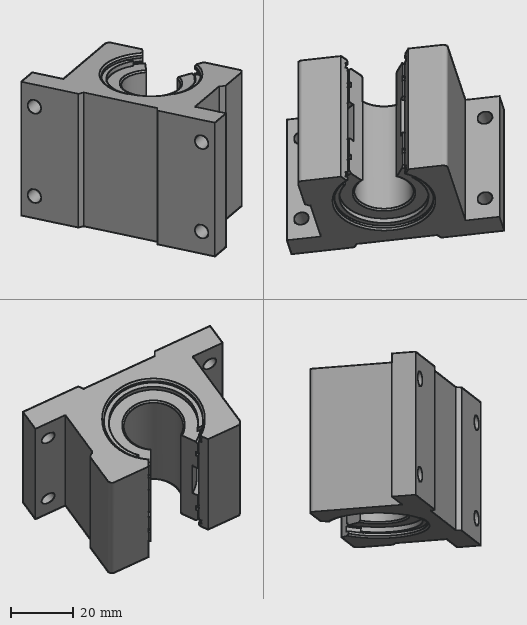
import cadquery as cq
import math


BASE_WIDTH = 69.85
BLOCK_LENGTH = 47.65
BLOCK_HEIGHT = 39.7
AXIS_HEIGHT = 23.75
FLANGE_THICKNESS = 8.0
BODY_HALF_WIDTH = 23.75
CORNER_RADIUS = 1.6

PAD_PROJECTION = 1.7
PAD_HEIGHT = 12.9
PAD_SLOPE_HEIGHT = 1.4

RELIEF_DEPTH = 1.7
RELIEF_WIDTH_INNER = 26.5
RELIEF_WIDTH_OUTER = 28.5

MOUNT_HOLE_DIAMETER = 4.8
MOUNT_SPACING_X = 60.3
MOUNT_SPACING_Z = 31.8

MOUTH_LEAN = math.radians(30)
HOUSING_MOUTH_HALF_WIDTH = 1.9
BEARING_MOUTH_HALF_WIDTH = 1.05
MOUTH_OVERRUN = 0.7

SEAT_RADIUS = 16.0
SEAT_CHAMFER = 0.6
GROOVE_RADIUS = 17.0
GROOVE_INSET = 1.5
RING_THICKNESS = 1.7
RING_INNER_RADIUS = 14.4
RING_END_Y = 9.3
BEARING_BORE_RADIUS = 9.6
BEARING_BORE_CHAMFER = 0.55
BEARING_RIM_CHAMFER = 0.8
BEARING_GROOVE_INSET = 5.6
BEARING_GROOVE_WIDTH = 1.6
BEARING_GROOVE_DEPTH = 0.8
BEARING_WAIST_LENGTH = 14.25
BEARING_WAIST_DEPTH = 2.0

BASE_Y = -AXIS_HEIGHT
TOP_Y = BLOCK_HEIGHT - AXIS_HEIGHT
FLANGE_Y = BASE_Y + FLANGE_THICKNESS
HALF_LENGTH = BLOCK_LENGTH / 2
GROOVE_OUTER_Z = HALF_LENGTH - GROOVE_INSET
BEARING_HALF_LENGTH = GROOVE_OUTER_Z - RING_THICKNESS


def cylinder(radius, half_length):
    """Cylinder along the bore axis, centred on the origin."""
    return cq.Workplane("XY").circle(radius).extrude(half_length, both=True)


def mouth_wedge(half_width_at_axis):
    """Cutter that opens a round shape towards +Y."""
    flare = math.tan(MOUTH_LEAN)
    end_y = TOP_Y + MOUTH_OVERRUN
    end_half_width = half_width_at_axis + end_y * flare
    return (
        cq.Workplane("XY")
        .polyline(
            [
                (-half_width_at_axis, 0),
                (half_width_at_axis, 0),
                (end_half_width, end_y),
                (-end_half_width, end_y),
            ]
        )
        .close()
        .extrude(HALF_LENGTH, both=True)
    )


def block_blank():
    """Flanged block with a side pad on +X and a shallow relief along its mounting face."""
    pad_x = BODY_HALF_WIDTH + PAD_PROJECTION
    pad_y = TOP_Y - PAD_HEIGHT
    outline = [
        (-BASE_WIDTH / 2, BASE_Y),
        (-RELIEF_WIDTH_OUTER / 2, BASE_Y),
        (-RELIEF_WIDTH_INNER / 2, BASE_Y + RELIEF_DEPTH),
        (RELIEF_WIDTH_INNER / 2, BASE_Y + RELIEF_DEPTH),
        (RELIEF_WIDTH_OUTER / 2, BASE_Y),
        (BASE_WIDTH / 2, BASE_Y),
        (BASE_WIDTH / 2, FLANGE_Y),
        (BODY_HALF_WIDTH, FLANGE_Y),
        (BODY_HALF_WIDTH, pad_y - PAD_SLOPE_HEIGHT),
        (pad_x, pad_y),
        (pad_x, TOP_Y),
        (-BODY_HALF_WIDTH, TOP_Y),
        (-BODY_HALF_WIDTH, FLANGE_Y),
        (-BASE_WIDTH / 2, FLANGE_Y),
    ]
    blank = cq.Workplane("XY").polyline(outline).close().extrude(HALF_LENGTH, both=True)
    top_corners = blank.faces(">Y").edges("|Z")
    return top_corners.fillet(CORNER_RADIUS)


def mount_holes():
    """Four round cutters through the flanges."""
    return (
        cq.Workplane("XZ", origin=(0, FLANGE_Y, 0))
        .rarray(MOUNT_SPACING_X, MOUNT_SPACING_Z, 2, 2)
        .circle(MOUNT_HOLE_DIAMETER / 2)
        .extrude(FLANGE_THICKNESS)
    )


def ring_groove(side):
    """Snap-ring groove near the end of the seat on the given side of Z."""
    return (
        cq.Workplane("XY", origin=(0, 0, side * BEARING_HALF_LENGTH))
        .circle(GROOVE_RADIUS)
        .extrude(side * RING_THICKNESS)
    )


def seat_chamfer(side):
    """Cone that breaks the edge of the seat on the given side of Z."""
    cone = cq.Solid.makeCone(
        SEAT_RADIUS + SEAT_CHAMFER,
        SEAT_RADIUS,
        SEAT_CHAMFER,
        cq.Vector(0, 0, side * HALF_LENGTH),
        cq.Vector(0, 0, -side),
    )
    return cq.Workplane(cone)


def make_housing():
    """Block with an open, chamfered bearing seat, two snap-ring grooves and four mounting holes."""
    seat = cylinder(SEAT_RADIUS, HALF_LENGTH)
    body = block_blank().cut(seat).cut(mouth_wedge(HOUSING_MOUTH_HALF_WIDTH))
    for side in (1, -1):
        body = body.cut(ring_groove(side)).cut(seat_chamfer(side))
    return body.cut(mount_holes())


def bearing_groove(center_z, width, depth):
    """Ring cutter for a square groove around the outside of the bearing."""
    ring = cylinder(SEAT_RADIUS, width / 2).cut(cylinder(SEAT_RADIUS - depth, width / 2))
    return ring.translate((0, 0, center_z))


def make_bearing():
    """Open sleeve between the snap rings, with two narrow grooves and a waist around it."""
    sleeve = cylinder(SEAT_RADIUS, BEARING_HALF_LENGTH).faces("|Z").edges().chamfer(BEARING_RIM_CHAMFER)
    bore = cylinder(BEARING_BORE_RADIUS, BEARING_HALF_LENGTH)
    sleeve = sleeve.cut(bore)
    bore_edges = sleeve.faces("|Z").edges(cq.selectors.RadiusNthSelector(0))
    sleeve = bore_edges.chamfer(BEARING_BORE_CHAMFER)

    groove_z = BEARING_HALF_LENGTH - BEARING_GROOVE_INSET - BEARING_GROOVE_WIDTH / 2
    for side in (1, -1):
        sleeve = sleeve.cut(bearing_groove(side * groove_z, BEARING_GROOVE_WIDTH, BEARING_GROOVE_DEPTH))
    sleeve = sleeve.cut(bearing_groove(0, BEARING_WAIST_LENGTH, BEARING_WAIST_DEPTH))
    return sleeve.cut(mouth_wedge(BEARING_MOUTH_HALF_WIDTH))


def make_snap_ring(side):
    """Open ring that fills its groove and stops level with RING_END_Y."""
    ring = ring_groove(side).cut(cylinder(RING_INNER_RADIUS, HALF_LENGTH))
    opening = (
        cq.Workplane("XY")
        .rect(2 * GROOVE_RADIUS, GROOVE_RADIUS)
        .extrude(HALF_LENGTH, both=True)
        .translate((0, RING_END_Y + GROOVE_RADIUS / 2, 0))
    )
    return ring.cut(opening)


housing = make_housing()
bearing = make_bearing()
snap_rings = [make_snap_ring(side) for side in (1, -1)]

result = cq.Compound.makeCompound([housing.val(), bearing.val(), *[ring.val() for ring in snap_rings]])